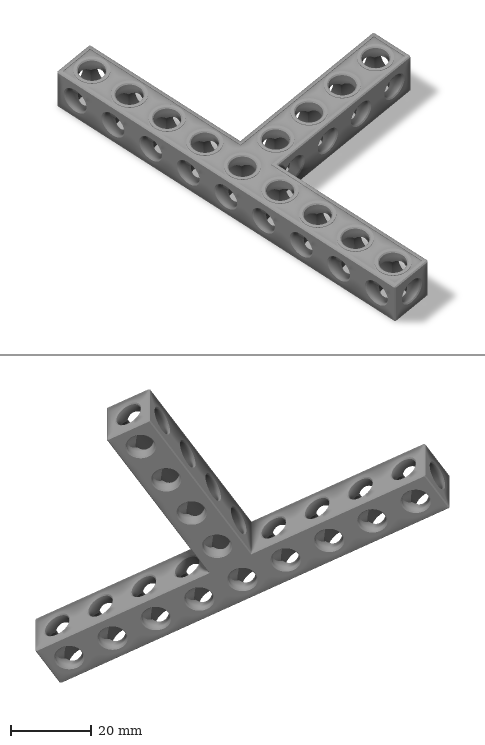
import cadquery as cq

BAR_LENGTH = 112.5
BAR_CUBES = 9
STEM_CUBES = 4
CHAMFER = 0.3
HOLE_DIAMETER = 7.0
COLLAR_DIAMETER = 9.2
RIM_WIDTH = 1.1
RECESS_DEPTH = 0.2

cube = BAR_LENGTH / BAR_CUBES
half_cube = cube / 2
half_bar = BAR_LENGTH / 2
stem_end = half_cube + STEM_CUBES * cube
middle_column = BAR_CUBES // 2
bar_columns = [(i - middle_column) * cube for i in range(BAR_CUBES)]
stem_rows = [i * cube for i in range(1, STEM_CUBES + 1)]
cube_centers = [(x, 0) for x in bar_columns] + [(0, y) for y in stem_rows]


def tee(inset, height):
    """T-shaped prism standing on Z = 0, with its outline moved inward by inset."""
    side = half_cube - inset
    bar_end = half_bar - inset
    stem_tip = stem_end - inset
    outline = [
        (-bar_end, -side),
        (bar_end, -side),
        (bar_end, side),
        (side, side),
        (side, stem_tip),
        (-side, stem_tip),
        (-side, side),
        (-bar_end, side),
    ]
    return cq.Workplane("XY").polyline(outline).close().extrude(height)


def beam_blank():
    """Solid beam with every outer edge chamfered except the two inner corners of the T."""
    blank = tee(0, cube).translate((0, 0, -half_cube))
    return blank.edges("(#Z) or (|Z and (<X or >X or >Y))").chamfer(CHAMFER)


def top_recess():
    """Cutter for the shallow top recess, which leaves the border and the hole collars."""
    collars = cq.Workplane("XY").pushPoints(cube_centers).circle(COLLAR_DIAMETER / 2).extrude(RECESS_DEPTH)
    return tee(RIM_WIDTH, RECESS_DEPTH).cut(collars).translate((0, 0, half_cube - RECESS_DEPTH))


def hole(start, direction, length):
    """Cutter for a through hole with a chamfer at both mouths."""
    start = cq.Vector(*start)
    direction = cq.Vector(*direction)
    end = start + direction * length
    bore_radius = HOLE_DIAMETER / 2
    mouth_radius = bore_radius + CHAMFER
    bore = cq.Solid.makeCylinder(bore_radius, length, start, direction)
    near_mouth = cq.Solid.makeCone(mouth_radius, bore_radius, CHAMFER, start, direction)
    far_mouth = cq.Solid.makeCone(mouth_radius, bore_radius, CHAMFER, end, direction * -1)
    return cq.Workplane(bore.fuse(near_mouth, far_mouth))


body = beam_blank().cut(top_recess())

for x, y in cube_centers:
    body = body.cut(hole((x, y, -half_cube), (0, 0, 1), cube))

for column, x in enumerate(bar_columns):
    far_side = stem_end if column == middle_column else half_cube
    body = body.cut(hole((x, -half_cube, 0), (0, 1, 0), far_side + half_cube))

body = body.cut(hole((-half_bar, 0, 0), (1, 0, 0), BAR_LENGTH))
for y in stem_rows:
    body = body.cut(hole((-half_cube, y, 0), (1, 0, 0), cube))

result = body